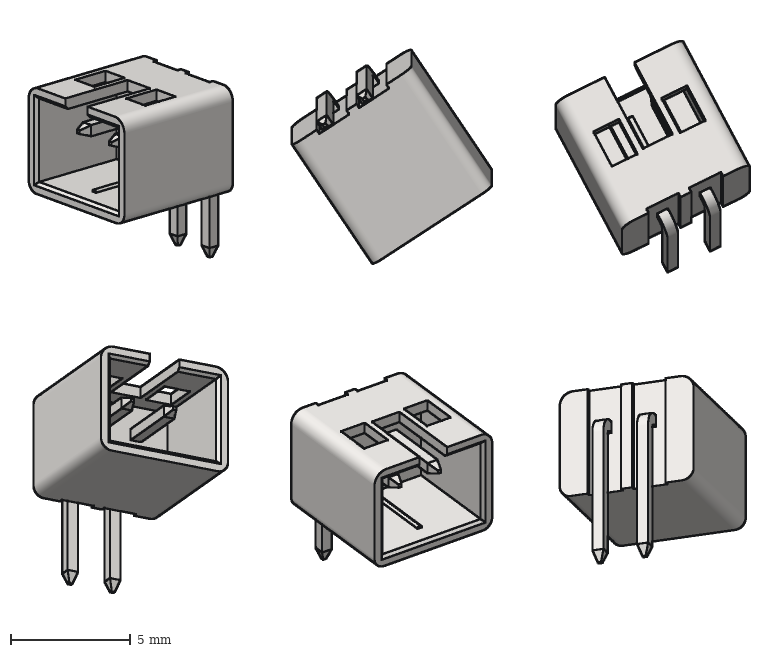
import cadquery as cq

housing_width = 6.01
housing_depth = 6.1
housing_height = 4.7
top_corner_radius = 0.6
bottom_corner_radius = 0.5

wall = 0.5
cavity_depth = 4.5
mouth_chamfer = 0.15

slot_width = 1.4
slot_length = 3.5
window_width = 1.2
window_length = 1.7
window_back = 3.6
window_offset = 1.6

notch_width = 1.5
notch_depth = 0.2

rib_radius = 0.11
rib_start = 1.0

pin_pitch = 2.0
pin_size = 0.5
pin_tip_size = 0.15
pin_taper_length = 0.5
pin_overhang = 0.75
pin_center_drop = 1.79
pin_front = 1.0
pin_bottom = -3.4

pin_positions = (-pin_pitch / 2, pin_pitch / 2)
sides = (-1, 1)
pin_center_z = housing_height - pin_center_drop
cavity_width = housing_width - 2 * wall
cavity_height = housing_height - 2 * wall


def box(width, depth, height, x, y, z):
    """Box centred on x, starting at y and z."""
    return cq.Workplane("XY").box(width, depth, height, centered=(True, False, False)).translate((x, y, z))


def make_shell():
    """Rounded block with a rectangular cavity and a chamfered mouth."""
    shell = box(housing_width, housing_depth, housing_height, 0, 0, 0)
    shell = shell.edges("|Y and >Z").fillet(top_corner_radius)
    shell = shell.edges("|Y and <Z").fillet(bottom_corner_radius)
    shell = shell.cut(box(cavity_width, cavity_depth, cavity_height, 0, 0, wall))
    mouth = (
        cq.Workplane("XZ", origin=(0, 0, housing_height / 2))
        .rect(cavity_width + 2 * mouth_chamfer, cavity_height + 2 * mouth_chamfer)
        .workplane(offset=-mouth_chamfer)
        .rect(cavity_width, cavity_height)
        .loft(ruled=True)
    )
    return shell.cut(mouth)


def cut_top_openings(body):
    """Central slot running out through the mouth, with a window on each side."""
    ceiling = housing_height - wall
    body = body.cut(box(slot_width, slot_length, wall, 0, 0, ceiling))
    for side in sides:
        window_x = side * window_offset
        window = box(window_width, window_length, wall, window_x, window_back - window_length, ceiling)
        body = body.cut(window)
    return body


def cut_back_notches(body):
    """Full-height notches in the back face."""
    for x in pin_positions:
        body = body.cut(box(notch_width, notch_depth, housing_height, x, housing_depth - notch_depth, 0))
    return body


def make_rib():
    """Round bar sunk to half its height in the cavity floor."""
    return (
        cq.Workplane("XZ", origin=(0, rib_start, wall))
        .circle(rib_radius)
        .extrude(-(cavity_depth - rib_start))
    )


def make_taper(plane):
    """Pyramid frustum that narrows from the pin section to its tip along the plane normal."""
    return (
        cq.Workplane(plane)
        .rect(pin_size, pin_size)
        .workplane(offset=pin_taper_length)
        .rect(pin_tip_size, pin_tip_size)
        .loft(ruled=True)
    )


def make_pin(x):
    """Square pin: mating leg along Y, a bend behind the housing and a leg down to the board."""
    half = pin_size / 2
    leg_y = housing_depth + pin_overhang - half
    bend_radius = pin_overhang - half
    mating_start = pin_front + pin_taper_length
    board_end = pin_bottom + pin_taper_length

    path = (
        cq.Workplane("YZ", origin=(x, 0, 0))
        .moveTo(mating_start, pin_center_z)
        .lineTo(leg_y - bend_radius, pin_center_z)
        .tangentArcPoint((leg_y, pin_center_z - bend_radius), relative=False)
        .lineTo(leg_y, board_end)
    )
    section_plane = cq.Plane(origin=(x, mating_start, pin_center_z), xDir=(1, 0, 0), normal=(0, -1, 0))
    pin = cq.Workplane(section_plane).rect(pin_size, pin_size).sweep(path)

    board_plane = cq.Plane(origin=(x, leg_y, board_end), xDir=(1, 0, 0), normal=(0, 0, -1))
    return pin.union(make_taper(section_plane)).union(make_taper(board_plane))


result = cut_back_notches(cut_top_openings(make_shell())).union(make_rib())
for pin_x in pin_positions:
    result = result.union(make_pin(pin_x))